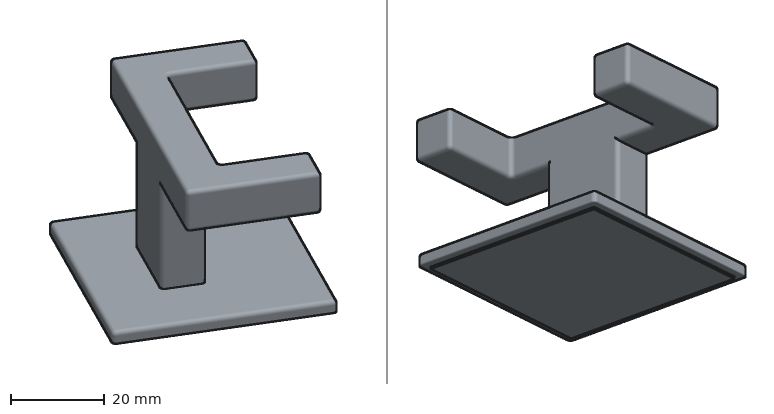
import cadquery as cq

bar_length = 60.0
post_height = 25.0
plate_thickness = 3.0
pad_thickness = 0.5
plate_bottom_radius = 0.3

bar_section = bar_length / 6
hook_depth = 3 * bar_section
post_width = 2 * bar_section
plate_side = 5 * bar_section
edge_radius = bar_section / 10
pad_inset = 2 * edge_radius

pad_side = plate_side - 2 * pad_inset
arm_gap = bar_length - 2 * bar_section
arm_reach = hook_depth - bar_section
hook_front = -bar_section
plate_bottom = pad_thickness
plate_top = plate_bottom + plate_thickness
bar_bottom = plate_top + post_height


def block(x_size, y_size, z_size, front, bottom):
    """Box centred on X, with its front face and its underside at the given places."""
    box = cq.Workplane("XY").box(x_size, y_size, z_size, centered=(True, False, False))
    return box.translate((0, front, bottom))


def make_pad():
    """Thin square pad under the plate."""
    return block(pad_side, pad_side, pad_thickness, -pad_side / 2, 0)


def make_plate():
    """Square base plate with rounded edges, more finely rounded underneath."""
    plate = block(plate_side, plate_side, plate_thickness, -plate_side / 2, plate_bottom)
    plate = plate.edges("|Z or >Z").fillet(edge_radius)
    return plate.faces("<Z").edges().fillet(plate_bottom_radius)


def make_hook():
    """U-shaped bar on a post that is flush with the bar's front and back."""
    bar = block(bar_length, hook_depth, bar_section, hook_front, bar_bottom)
    opening = block(arm_gap, arm_reach, bar_section, 0, bar_bottom)
    post = block(post_width, bar_section, post_height, hook_front, plate_top)
    hook = bar.cut(opening).union(post).clean()

    sharp_edges = hook.faces("<Z").edges().vals()
    for side in (-1, 1):
        corner = (side * post_width / 2, hook_front / 2, bar_bottom)
        sharp_edges.append(hook.edges(cq.selectors.NearestToPointSelector(corner)).val())

    rounded_edges = [
        edge
        for edge in hook.edges().vals()
        if not any(edge.isSame(sharp) for sharp in sharp_edges)
    ]
    return hook.newObject(rounded_edges).fillet(edge_radius)


pad = make_pad()
plate = make_plate()
hook = make_hook()

result = cq.Compound.makeCompound([pad.val(), plate.val(), hook.val()])